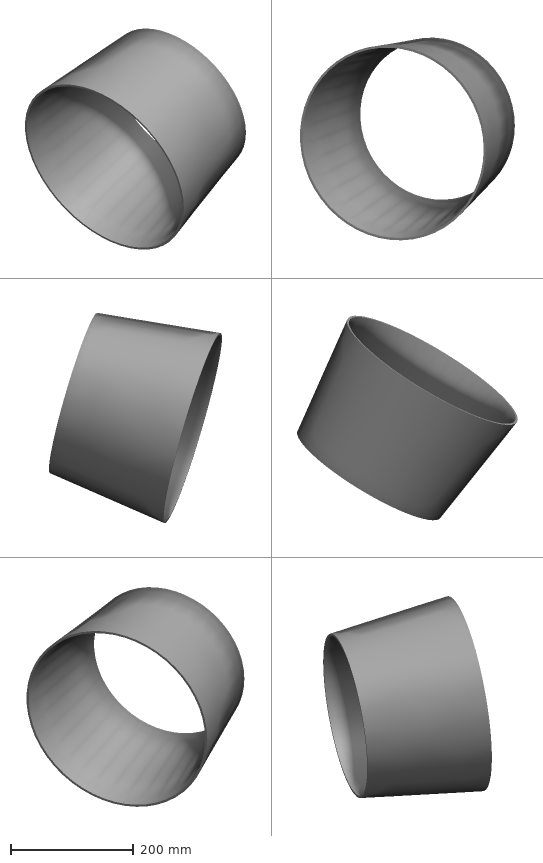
import cadquery as cq

large_diameter = 324.0
small_diameter = 273.0
length = 203.0
wall = 4.0

large_radius = large_diameter / 2
small_radius = small_diameter / 2

wall_section = (
    cq.Workplane("XY")
    .moveTo(large_radius - wall, 0)
    .lineTo(large_radius, 0)
    .lineTo(small_radius, length)
    .lineTo(small_radius - wall, length)
    .close()
)

result = wall_section.revolve(360, (0, 0, 0), (0, 1, 0))